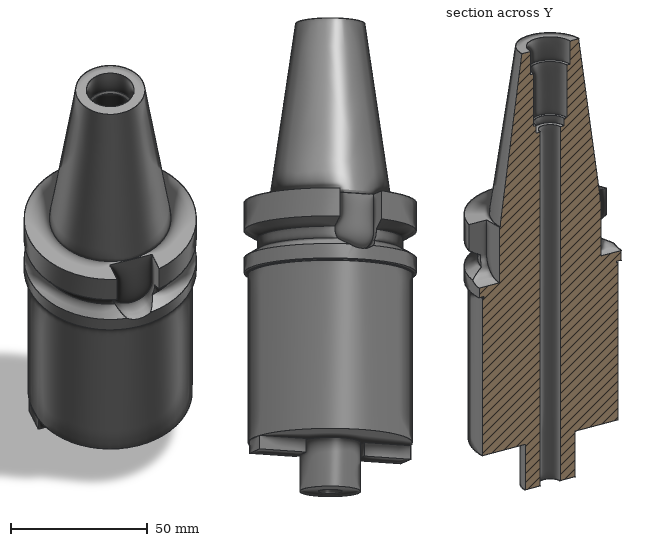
import cadquery as cq

total_height = 173.4
pilot_height = 18.0
flange_bottom = 81.0
groove_bottom = 86.4
groove_floor_bottom = 89.3
groove_floor_top = 93.6
groove_top = 96.5
flange_top = 107.0
gauge_line = 108.0

pilot_radius = 11.1
body_radius = 30.0
flange_diameter = 63.0
flange_radius = flange_diameter / 2
groove_radius = 26.5
taper_large_radius = 22.2
taper_small_radius = 12.7
undercut_radius = 29.5
undercut_height = 0.5

through_radius = 4.3
bore_steps = [(8.7, 9.2), (7.3, 30.0), (6.0, 33)]

slot_width = 16.3
slot_bottom = 85
slot_floor_x = 22.5

key_width = 10.0
key_height = 5.0
key_inner = 11.5
key_outer = 29.7


def turned_body():
    """Revolved pilot, body, grooved flange and taper."""
    profile = [
        (0, 0),
        (pilot_radius, 0),
        (pilot_radius, pilot_height),
        (body_radius, pilot_height),
        (body_radius, flange_bottom - undercut_height),
        (undercut_radius, flange_bottom - undercut_height),
        (undercut_radius, flange_bottom),
        (flange_radius, flange_bottom),
        (flange_radius, groove_bottom),
        (groove_radius, groove_floor_bottom),
        (groove_radius, groove_floor_top),
        (flange_radius, groove_top),
        (flange_radius, flange_top),
        (taper_large_radius, flange_top),
        (taper_large_radius, gauge_line),
        (taper_small_radius, total_height),
        (0, total_height),
    ]
    return cq.Workplane("XZ").polyline(profile).close().revolve(360, (0, 0), (0, 1))


def bore():
    """Through hole widened in steps towards the taper end."""
    cutter = cq.Workplane("XY").circle(through_radius).extrude(total_height)
    for radius, depth in bore_steps:
        step = cq.Workplane("XY").workplane(offset=total_height - depth).circle(radius).extrude(depth)
        cutter = cutter.union(step)
    return cutter


def drive_slot(side):
    """Round-bottomed slot, open at the flange top; side is +1 or -1 along X."""
    half_width = slot_width / 2
    arc_height = slot_bottom + half_width
    return (
        cq.Workplane("YZ")
        .workplane(offset=side * slot_floor_x)
        .moveTo(-half_width, flange_top)
        .lineTo(-half_width, arc_height)
        .threePointArc((0, slot_bottom), (half_width, arc_height))
        .lineTo(half_width, flange_top)
        .close()
        .extrude(side * (flange_radius - slot_floor_x))
    )


def drive_key(side):
    """Rectangular key under the body; side is +1 or -1 along Y."""
    return (
        cq.Workplane("XY")
        .workplane(offset=pilot_height - key_height)
        .center(0, side * (key_inner + key_outer) / 2)
        .rect(key_width, key_outer - key_inner)
        .extrude(key_height)
    )


result = turned_body().cut(bore())
for side in (-1, 1):
    result = result.cut(drive_slot(side)).union(drive_key(side))